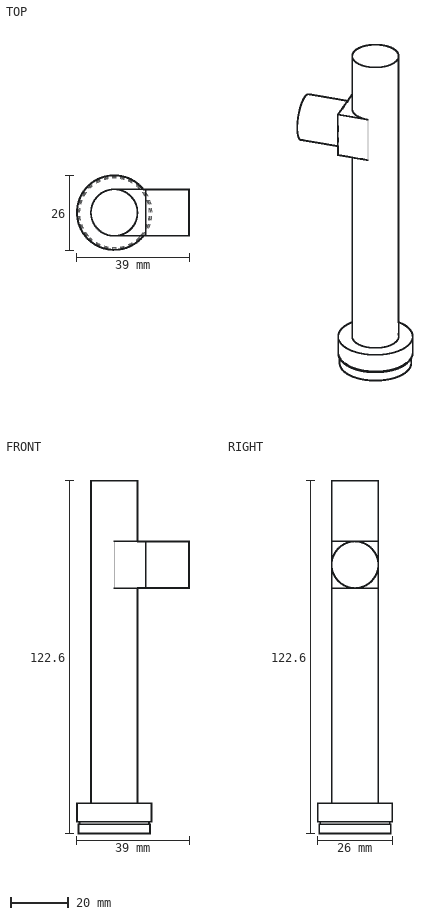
import cadquery as cq

post_diameter = 16.2
post_length = 112.0

collar_diameter = 26.0
collar_height = 6.6
neck_diameter = 24.2
neck_height = 0.7
ring_diameter = 25.0
ring_height = 3.3

branch_width = post_diameter
branch_drop = 29.2
block_end = 11.0
branch_end = 26.0

neck_bottom = ring_height
collar_bottom = neck_bottom + neck_height
collar_top = collar_bottom + collar_height
post_top = collar_top + post_length
branch_axis_height = post_top - branch_drop


def upright_cylinder(diameter, bottom, height):
    """Cylinder about the Z axis, starting at the given level."""
    return cq.Workplane("XY").workplane(offset=bottom).circle(diameter / 2).extrude(height)


def make_foot():
    ring = upright_cylinder(ring_diameter, 0, ring_height)
    neck = upright_cylinder(neck_diameter, neck_bottom, neck_height)
    collar = upright_cylinder(collar_diameter, collar_bottom, collar_height)
    return ring.union(neck).union(collar)


def branch_plane(offset):
    """Plane across the branch at the given X, centred on the branch axis."""
    return cq.Workplane("YZ", origin=(offset, 0, branch_axis_height))


def make_branch():
    block = branch_plane(0).rect(branch_width, branch_width).extrude(block_end)
    stub = branch_plane(block_end).circle(branch_width / 2).extrude(branch_end - block_end)
    return block.union(stub)


post = upright_cylinder(post_diameter, collar_top, post_length)
result = make_foot().union(post).union(make_branch())